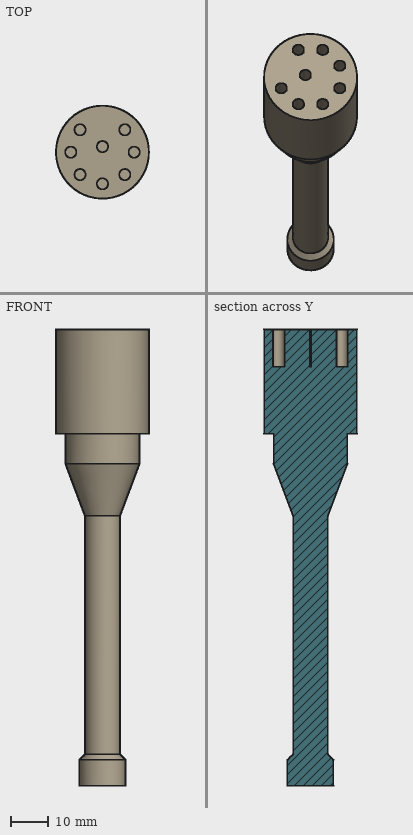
import cadquery as cq
import math

total_height = 122.5
head_diameter = 25.0
head_length = 28.0
collar_diameter = 20.0
collar_length = 8.0
taper_length = 14.0
stem_diameter = 9.5
foot_diameter = 12.5
foot_straight_length = 7.0

hole_diameter = 3.0
hole_depth = 10.0
hole_circle_radius = 8.5
hole_pitch_angle = 45.0
empty_position_angle = 90.0
inner_hole_y = 1.5

head_bottom = total_height - head_length
collar_bottom = head_bottom - collar_length
taper_bottom = collar_bottom - taper_length
foot_chamfer = (foot_diameter - stem_diameter) / 2
foot_top = foot_straight_length + foot_chamfer


def turned_body():
    """Revolve the half profile: foot, stem, taper, collar and head."""
    profile = [
        (0, 0),
        (foot_diameter / 2, 0),
        (foot_diameter / 2, foot_straight_length),
        (stem_diameter / 2, foot_top),
        (stem_diameter / 2, taper_bottom),
        (collar_diameter / 2, collar_bottom),
        (collar_diameter / 2, head_bottom),
        (head_diameter / 2, head_bottom),
        (head_diameter / 2, total_height),
        (0, total_height),
    ]
    return cq.Workplane("XZ").polyline(profile).close().revolve(360, (0, 0, 0), (0, 1, 0))


def hole_centers():
    """One inner hole, and a ring of equally pitched holes with one position left out."""
    centers = [(0, inner_hole_y)]
    position_count = round(360 / hole_pitch_angle)
    for step in range(1, position_count):
        angle = math.radians(empty_position_angle + step * hole_pitch_angle)
        centers.append((hole_circle_radius * math.cos(angle), hole_circle_radius * math.sin(angle)))
    return centers


def hole_cutters():
    """Cylinders reaching down from the top face."""
    return (
        cq.Workplane("XY")
        .workplane(offset=total_height)
        .pushPoints(hole_centers())
        .circle(hole_diameter / 2)
        .extrude(-hole_depth)
    )


result = turned_body().cut(hole_cutters())